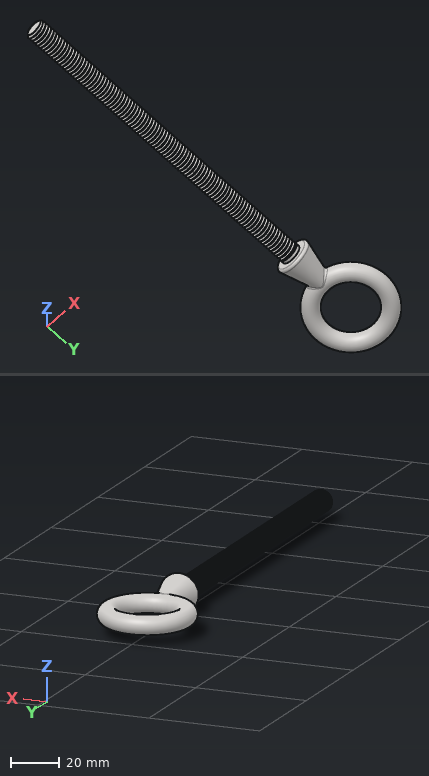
import cadquery as cq
total_length = 208.8

ring_outer_diameter = 42.2
ring_bar_diameter = 8.5

collar_base_y = -35.3
collar_height = 18.5
collar_tip_diameter = 8.4
collar_base_diameter = 18.2
collar_edge_fillet = 1.15
ring_blend_fillet = 1.0

thread_diameter = 9.5
thread_pitch = 1.59
thread_depth = 1.3
crest_width = thread_pitch / 8
turns_per_section = 5
section_count = 19
groove_start_angle = 300
tip_chamfer = 1.0

ring_centre_radius = (ring_outer_diameter - ring_bar_diameter) / 2
thread_radius = thread_diameter / 2
section_length = turns_per_section * thread_pitch
thread_length = section_count * section_length
shank_tip_y = ring_outer_diameter / 2 - total_length
thread_start_y = shank_tip_y + thread_length


def make_ring():
    return cq.Workplane(obj=cq.Solid.makeTorus(ring_centre_radius, ring_bar_diameter / 2))


def make_collar():
    collar_tip_y = collar_base_y + collar_height
    collar = (
        cq.Workplane("XY")
        .moveTo(0, collar_tip_y)
        .lineTo(collar_tip_diameter / 2, collar_tip_y)
        .lineTo(collar_base_diameter / 2, collar_base_y)
        .lineTo(0, collar_base_y)
        .close()
        .revolve(360, (0, 0, 0), (0, 1, 0))
    )
    return collar.faces("<Y").edges().fillet(collar_edge_fillet)


def make_head():
    """Ring and collar, blended along the two curves where they meet."""
    head = make_ring().union(make_collar())
    return head.edges("%BSPLINE").fillet(ring_blend_fillet)


def make_neck():
    """Plain cylinder between the collar and the first turn of the thread."""
    return (
        cq.Workplane("XZ", origin=(0, collar_base_y, 0))
        .circle(thread_radius)
        .extrude(collar_base_y - thread_start_y)
    )


def make_groove():
    """V groove wound along +Z, running one turn past both ends of a thread section."""
    clearance = 0.5
    root_radius = thread_radius - thread_depth
    mouth_radius = thread_radius + clearance
    mouth_width = (thread_pitch - crest_width) * (thread_depth + clearance) / thread_depth
    corners = [(root_radius, 0), (mouth_radius, -mouth_width / 2), (mouth_radius, mouth_width / 2)]
    helices = [
        cq.Wire.makeHelix(thread_pitch, section_length + 2 * thread_pitch, radius)
        .translate(cq.Vector(0, 0, offset - thread_pitch))
        for radius, offset in corners
    ]
    faces = [
        cq.Face.makeRuledSurface(helix, next_helix)
        for helix, next_helix in zip(helices, helices[1:] + helices[:1])
    ]
    for end in (0, 1):
        triangle = cq.Wire.makePolygon([helix.positionAt(end) for helix in helices], close=True)
        faces.append(cq.Face.makeFromWires(triangle))
    groove = cq.Workplane(obj=cq.Solid.makeSolid(cq.Shell.makeShell(faces)))
    return groove.rotate((0, 0, 0), (0, 0, 1), groove_start_angle)


def make_thread():
    """Equal sections of whole turns, joined skin to skin, with a chamfer on the last one."""
    blank = cq.Workplane("XY").circle(thread_radius).extrude(section_length)
    section = blank.cut(make_groove(), clean=False)
    tip_section = section.intersect(blank.faces(">Z").chamfer(tip_chamfer), clean=False)

    skin = section.faces("<Z").vals()
    turns = section.faces("not(<Z or >Z)").vals()
    for index in range(section_count - 1):
        offset = cq.Vector(0, 0, index * section_length)
        skin += [face.translate(offset) for face in turns]
    tip_offset = cq.Vector(0, 0, thread_length - section_length)
    skin += [face.translate(tip_offset) for face in tip_section.faces("not <Z").vals()]

    thread = cq.Workplane(obj=cq.Solid.makeSolid(cq.Shell.makeShell(skin)))
    return thread.rotate((0, 0, 0), (1, 0, 0), 90).translate((0, thread_start_y, 0))


result = make_head().union(make_neck()).union(make_thread(), clean=False)